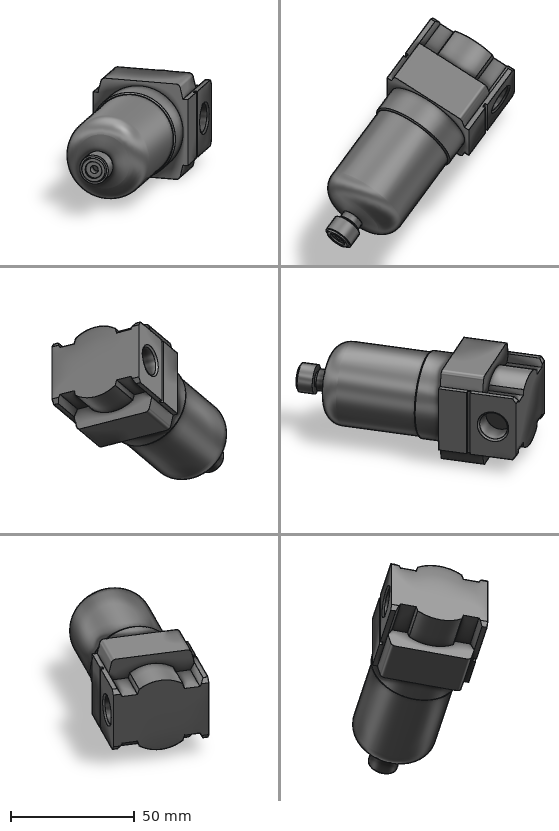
import cadquery as cq
import math


HEAD_WIDTH = 40.0
HEAD_LENGTH = 32.6
HALF_WIDTH = HEAD_WIDTH / 2
BLOCK_LENGTH = 17.9
EAR_HALF_HEIGHT = 13.8
EAR_INNER_X = 17.9
EAR_CHAMFER_Y = 1.5
EAR_CHAMFER_Z = 1.9
BLOCK_CORNER_X = 16.5
BLOCK_CORNER_RADIUS = 1.9

BOSS_RADIUS = 15.9
BOSS_EDGE_X = 9.2
VALLEY_INNER_X = 9.8
VALLEY_OUTER_X = 16.3
VALLEY_Z = 10.7

PORT_Y = 22.9
PORT_RADIUS = 5.8
PORT_DEPTH = 9.7
PORT_CHAMFER = 0.8
GROOVE_Y = 11.8
GROOVE_WIDTH = 1.5
GROOVE_DEPTH = 1.2

COLLAR_RADIUS = 18.0
COLLAR_LENGTH = 11.1
COLLAR_CHAMFER = 0.6
BOWL_RADIUS = 17.2
BOWL_STRAIGHT_END = 44.0
BOWL_ROUND_RADIUS = 8.0
BOWL_CONE_ANGLE = 15.0
NECK_RADIUS = 4.5
NECK_END = 56.4

TOTAL_LENGTH = 97.4
COCK_END = TOTAL_LENGTH - HEAD_LENGTH
STEM_RADIUS = 3.1
KNOB_START = 57.6
KNOB_RADIUS = 6.0
LIP_BASE_RADIUS = 5.3
LIP_END_RADIUS = 4.9
LIP_HEIGHT = 0.8
RECESS_RADIUS = 3.5
RECESS_DEPTH = 1.0
DRAIN_HOLE_RADIUS = 1.7
DRAIN_HOLE_DEPTH = 3.9


def extrude_along_y(profile, start, length):
    """Extrude an XZ profile from Y = start towards +Y."""
    return profile.extrude(-length).translate((0, start, 0))


def cylinder_along_y(radius, start, length):
    return extrude_along_y(cq.Workplane("XZ").circle(radius), start, length)


def revolve_about_y(profile):
    return profile.close().revolve(360, (0, 0, 0), (0, 1, 0))


def make_block():
    """Full-height portion with leaning sides and rounded corners."""
    profile = (
        cq.Workplane("XZ")
        .moveTo(-EAR_INNER_X, -EAR_HALF_HEIGHT)
        .lineTo(-BLOCK_CORNER_X, -HALF_WIDTH)
        .lineTo(BLOCK_CORNER_X, -HALF_WIDTH)
        .lineTo(EAR_INNER_X, -EAR_HALF_HEIGHT)
        .lineTo(EAR_INNER_X, EAR_HALF_HEIGHT)
        .lineTo(BLOCK_CORNER_X, HALF_WIDTH)
        .lineTo(-BLOCK_CORNER_X, HALF_WIDTH)
        .lineTo(-EAR_INNER_X, EAR_HALF_HEIGHT)
        .close()
    )
    block = extrude_along_y(profile, 0, BLOCK_LENGTH)
    return block.faces("<Z or >Z").edges("|Y").fillet(BLOCK_CORNER_RADIUS)


def make_ears():
    """Slab whose two X ends are the ears, with chamfered rear edges."""
    slab = cq.Workplane("XY").box(HEAD_WIDTH, HEAD_LENGTH, 2 * EAR_HALF_HEIGHT)
    slab = slab.translate((0, HEAD_LENGTH / 2, 0))
    chamfer = (
        cq.Workplane("YZ")
        .moveTo(HEAD_LENGTH, EAR_HALF_HEIGHT)
        .lineTo(HEAD_LENGTH - EAR_CHAMFER_Y, EAR_HALF_HEIGHT)
        .lineTo(HEAD_LENGTH, EAR_HALF_HEIGHT - EAR_CHAMFER_Z)
        .close()
        .extrude(HALF_WIDTH, both=True)
    )
    return slab.cut(chamfer).cut(chamfer.mirror("XY"))


def make_valleys():
    """The two cutters above the axis that leave the ears standing beside the rear portion."""
    profile = (
        cq.Workplane("XZ")
        .moveTo(0, VALLEY_Z)
        .lineTo(VALLEY_OUTER_X, VALLEY_Z)
        .lineTo(EAR_INNER_X, EAR_HALF_HEIGHT)
        .lineTo(0, EAR_HALF_HEIGHT)
        .close()
    )
    valley = extrude_along_y(profile, BLOCK_LENGTH, HEAD_LENGTH - BLOCK_LENGTH)
    return valley.union(valley.mirror("YZ"))


def make_boss():
    """Rear boss: round above and below, with leaning sides down to the valleys."""
    edge_z = math.sqrt(BOSS_RADIUS**2 - BOSS_EDGE_X**2)
    profile = (
        cq.Workplane("XZ")
        .moveTo(-VALLEY_INNER_X, -VALLEY_Z)
        .lineTo(-BOSS_EDGE_X, -edge_z)
        .threePointArc((0, -BOSS_RADIUS), (BOSS_EDGE_X, -edge_z))
        .lineTo(VALLEY_INNER_X, -VALLEY_Z)
        .lineTo(VALLEY_INNER_X, VALLEY_Z)
        .lineTo(BOSS_EDGE_X, edge_z)
        .threePointArc((0, BOSS_RADIUS), (-BOSS_EDGE_X, edge_z))
        .lineTo(-VALLEY_INNER_X, VALLEY_Z)
        .close()
    )
    return extrude_along_y(profile, 0, HEAD_LENGTH)


def make_port():
    """Cutter for the port in the -X face: a blind bore with a chamfered mouth."""
    return (
        cq.Workplane("XY")
        .moveTo(-HALF_WIDTH, PORT_Y)
        .lineTo(-HALF_WIDTH, PORT_Y + PORT_RADIUS + PORT_CHAMFER)
        .lineTo(-HALF_WIDTH + PORT_CHAMFER, PORT_Y + PORT_RADIUS)
        .lineTo(-HALF_WIDTH + PORT_DEPTH, PORT_Y + PORT_RADIUS)
        .lineTo(-HALF_WIDTH + PORT_DEPTH, PORT_Y)
        .close()
        .revolve(360, (0, PORT_Y, 0), (1, PORT_Y, 0))
    )


def make_groove():
    """Cutter for the groove across the -X ear."""
    groove = cq.Workplane("XY").box(GROOVE_DEPTH, GROOVE_WIDTH, HEAD_WIDTH)
    return groove.translate((-HALF_WIDTH + GROOVE_DEPTH / 2, GROOVE_Y + GROOVE_WIDTH / 2, 0))


def make_head():
    valleys = make_valleys()
    head = make_ears().cut(valleys).cut(valleys.mirror("XY"))
    head = head.union(make_block()).union(make_boss())
    for cutter in (make_port(), make_groove()):
        head = head.cut(cutter).cut(cutter.mirror("YZ"))
    return head


def make_bowl():
    """Collar, straight wall, rounded end, shallow cone and neck in one revolved profile."""
    turn = math.radians(90 - BOWL_CONE_ANGLE)
    round_centre_radius = BOWL_RADIUS - BOWL_ROUND_RADIUS

    def point_on_round(angle):
        radius = round_centre_radius + BOWL_ROUND_RADIUS * math.cos(angle)
        return (radius, -BOWL_STRAIGHT_END - BOWL_ROUND_RADIUS * math.sin(angle))

    round_end_radius, round_end_y = point_on_round(turn)
    cone_height = (round_end_radius - NECK_RADIUS) * math.tan(math.radians(BOWL_CONE_ANGLE))
    profile = (
        cq.Workplane("XY")
        .moveTo(0, 0)
        .lineTo(COLLAR_RADIUS, 0)
        .lineTo(COLLAR_RADIUS, -COLLAR_LENGTH + COLLAR_CHAMFER)
        .lineTo(COLLAR_RADIUS - COLLAR_CHAMFER, -COLLAR_LENGTH)
        .lineTo(BOWL_RADIUS, -COLLAR_LENGTH)
        .lineTo(BOWL_RADIUS, -BOWL_STRAIGHT_END)
        .threePointArc(point_on_round(turn / 2), (round_end_radius, round_end_y))
        .lineTo(NECK_RADIUS, round_end_y - cone_height)
        .lineTo(NECK_RADIUS, -NECK_END)
        .lineTo(0, -NECK_END)
    )
    return revolve_about_y(profile)


def make_drain_cock():
    """Stem and knob; the knob ends in a raised tapered lip with a recess and a drain hole."""
    lip_base = -COCK_END + LIP_HEIGHT
    profile = (
        cq.Workplane("XY")
        .moveTo(0, -NECK_END)
        .lineTo(STEM_RADIUS, -NECK_END)
        .lineTo(STEM_RADIUS, -KNOB_START)
        .lineTo(KNOB_RADIUS, -KNOB_START)
        .lineTo(KNOB_RADIUS, lip_base)
        .lineTo(LIP_BASE_RADIUS, lip_base)
        .lineTo(LIP_END_RADIUS, -COCK_END)
        .lineTo(0, -COCK_END)
    )
    recess = cylinder_along_y(RECESS_RADIUS, -COCK_END, RECESS_DEPTH)
    hole = cylinder_along_y(DRAIN_HOLE_RADIUS, -COCK_END, RECESS_DEPTH + DRAIN_HOLE_DEPTH)
    return revolve_about_y(profile).cut(recess).cut(hole)


head = make_head()
bowl = make_bowl()
drain_cock = make_drain_cock()

bodies = (head, bowl, drain_cock)
result = cq.Compound.makeCompound([body.solids().val() for body in bodies])